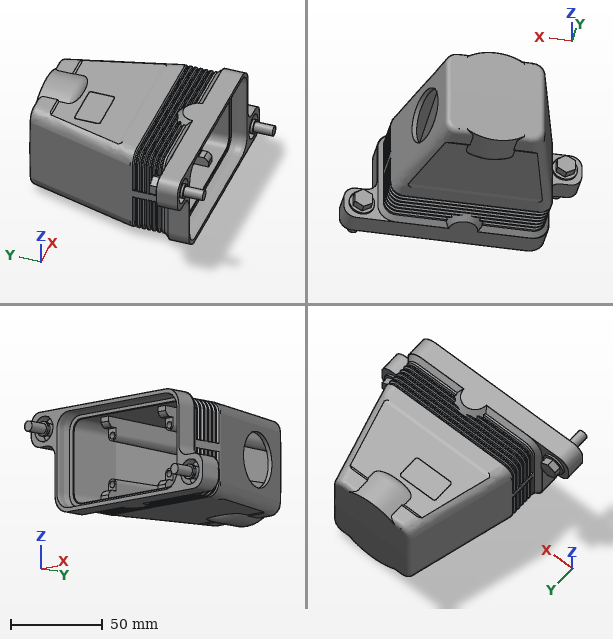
import cadquery as cq
import math


length = 132.5
height = 58.0
flange_width = 95.7
flange_depth = 12.2
flange_corner = 10.0
ear_height = 19.5
ear_corner = 6.9
ear_blend = 6.5

body_half_x = 44.9
body_half_z = 26.4
body_corner = 7.3
base_chamfer_end = 15.2
base_chamfer = 2.5
taper_start = 35.0
body_end = 100.2
body_end_half_x = 27.0
end_fall = 0.5
end_fillet = 2.9

taper_slope = (body_half_x - body_end_half_x) / (body_end - taper_start)

grip_start = 16.2
grip_end = 34.0
groove_count = 6
groove_pitch = (grip_end - grip_start) / groove_count
groove_depth = 0.9
groove_root = 0.8
groove_mouth = 2.3
side_band = 4.6

panel_depth = 0.4
panel_start = 42.9
panel_start_ramp = 1.7
panel_end = 88.8
panel_end_ramp = 1.2

plate_width = 25.2
plate_height = 14.8
plate_corner = 1.3
plate_depth = 0.3
plate_x = -11.4
plate_y = 67.6

boss_radius = height / 2
boss_width = 31.8
boss_start = 77.0
boss_fillet = 6.0

bump_radius = 8.0
bump_foot = 4.6

seat_half_x = 46.4
seat_half_z = 26.8
seat_corner = 9.3
seat_mouth_depth = 1.9
seat_mouth_inset = 0.4
seat_straight_end = 5.2
seat_inset = 1.2
seat_depth = 8.6
cavity_half_x = 42.0
cavity_half_z = 23.3
cavity_corner = 6.0
cavity_lip = 0.4
cavity_bend = 39.8
cavity_bend_half_x = 40.4
cavity_end = 94.1
cavity_end_half_x = 26.4
cavity_end_half_z = 21.2
cavity_end_corner = 5.2

strip_size = 1.2
strip_root = 0.4

cable_radius = 15.5
cable_y = 74.2
cable_reach = 4.6

post_x = 22.0
post_z = 13.5
post_front = 18.4
post_root_z = 23.8
post_front_radius = 2.9
post_back_radius = 4.5
post_hole_radius = 1.2
post_hole_mouth = 1.9
post_hole_depth = 10.6
foot_front = 12.6
foot_shelf = 15.2
foot_top_z = 17.5
foot_front_z = 20.4
foot_bulge = 0.4

screw_x = 56.5
screw_z = 19.3
screw_radius = 2.9
screw_length = 11.9
collar_radius = 4.1
collar_length = 0.9
collar_thickness = 1.6
sleeve_radius = 3.5
ear_bore_radius = 7.0
ear_bore_depth = 6.6
washer_radius = 7.0
washer_thickness = 1.2
head_flats = 10.0
head_height = 4.4


def section(y):
    """Sketch plane across the hood at depth y; positive extrusion runs toward -Y."""
    return cq.Workplane(cq.Plane(origin=(0, y, 0), xDir=(1, 0, 0), normal=(0, -1, 0)))


def frustum(y0, half_x0, half_z0, corner0, y1, half_x1, half_z1, corner1):
    """Solid between two centred rounded rectangles."""
    ends = []
    for y, half_x, half_z, corner in (
        (y0, half_x0, half_z0, corner0),
        (y1, half_x1, half_z1, corner1),
    ):
        outline = cq.Sketch().rect(2 * half_x, 2 * half_z).vertices().fillet(corner)
        ends.append(outline.moved(section(y).plane.location))
    return cq.Workplane().placeSketch(*ends).loft(ruled=True)


def body_section(y0, y1, inset0=0.0, inset1=0.0):
    """Straight-sided slice of the housing, inset evenly at each end."""
    return frustum(
        y0, body_half_x - inset0, body_half_z - inset0, body_corner - inset0,
        y1, body_half_x - inset1, body_half_z - inset1, body_corner - inset1,
    )


def tapered_half_x(y):
    return body_half_x - taper_slope * (y - taper_start)


def turned_copy(shape):
    """Copy turned half a turn about the hood axis."""
    return shape.rotate((0, 0, 0), (0, 1, 0), 180)


def make_flange():
    half_x = flange_width / 2
    half_z = height / 2
    ear_low = half_z - ear_height
    ear_reach = length / 2 - half_x + flange_corner
    slab = section(0).rect(flange_width, height).extrude(-flange_depth)
    ear = (
        section(0)
        .center((ear_reach - length) / 2, half_z - ear_height / 2)
        .rect(ear_reach, ear_height)
        .extrude(-flange_depth)
        .edges("|Y and <X")
        .fillet(ear_corner)
    )
    flange = slab.union(ear).union(turned_copy(ear)).clean()
    for side in (-1, 1):
        for x, z, radius in (
            (side * half_x, side * half_z, flange_corner),
            (side * half_x, -side * ear_low, ear_blend),
        ):
            around = cq.selectors.BoxSelector((x - 1.3, 0, z - 1.3), (x + 1.3, flange_depth, z + 1.3))
            flange = flange.edges("|Y").edges(around).fillet(radius)
    return flange


def end_crown():
    """Prism whose far end falls slightly from the centre plane to both sides."""
    half_z = height / 2
    return (
        cq.Workplane("YZ")
        .polyline([
            (0, -half_z),
            (body_end - end_fall, -half_z),
            (body_end, 0),
            (body_end - end_fall, half_z),
            (0, half_z),
        ])
        .close()
        .extrude(length / 2, both=True)
    )


def make_ribbed_section():
    ribs = body_section(base_chamfer_end, taper_start)
    ramp = (groove_mouth - groove_root) / 2
    for index in range(groove_count):
        centre = grip_end - groove_pitch * (index + 0.5)
        mouth_start = centre - groove_mouth / 2
        mouth_end = centre + groove_mouth / 2
        core = (
            body_section(mouth_start, mouth_start + ramp, 0, groove_depth)
            .union(body_section(mouth_start + ramp, mouth_end - ramp, groove_depth, groove_depth))
            .union(body_section(mouth_end - ramp, mouth_end, groove_depth, 0))
        )
        ribs = ribs.cut(body_section(mouth_start, mouth_end).cut(core))
    depth = taper_start - base_chamfer_end
    band = cq.Workplane().box(2 * body_half_x, depth, side_band)
    return ribs.union(band.translate((0, base_chamfer_end + depth / 2, 0)))


def make_tapered_section():
    body = frustum(
        taper_start, body_half_x, body_half_z, body_corner,
        body_end, body_end_half_x, body_half_z, body_corner,
    ).intersect(end_crown())
    rim = cq.selectors.BoxSelector(
        (-length, body_end - 2 * end_fall, -height), (length, body_end, height)
    )
    ridge = cq.selectors.BoxSelector((-length, 0, -0.1), (length, length, 0.1))
    body = body.newObject(body.edges(rim - ridge).vals()).fillet(end_fillet)
    panel = (
        cq.Workplane("YZ")
        .polyline([
            (panel_start, body_half_z),
            (panel_start + panel_start_ramp, body_half_z - panel_depth),
            (panel_end - panel_end_ramp, body_half_z - panel_depth),
            (panel_end, body_half_z),
        ])
        .close()
        .extrude(length / 2, both=True)
    )
    return body.cut(panel).cut(turned_copy(panel))


def make_boss():
    boss = (
        section(boss_start)
        .circle(boss_radius)
        .extrude(boss_start - body_end)
        .faces("<Y")
        .edges()
        .fillet(boss_fillet)
    )
    keep = cq.Workplane().box(boss_width, 2 * length, height)
    return boss.intersect(keep).intersect(end_crown())


def make_bump():
    """Half cone on the broad face, flush with the flange."""
    root_z = height / 2 - bump_foot
    cone = (
        cq.Workplane(origin=(0, flange_depth, root_z))
        .circle(bump_radius + bump_foot)
        .workplane(offset=bump_foot)
        .circle(bump_radius)
        .loft()
    )
    keep = cq.Workplane().box(length, length, height)
    return cone.intersect(keep.translate((0, (length + flange_depth) / 2, 0)))


def make_plate_pocket():
    floor_z = body_half_z - panel_depth - plate_depth
    return (
        cq.Workplane(origin=(plate_x, plate_y, floor_z))
        .rect(plate_width, plate_height)
        .extrude(2 * plate_depth)
        .edges("|Z")
        .fillet(plate_corner)
    )


def seat_step(y0, inset0, y1, inset1):
    """One depth step of the gasket seat, inset evenly at each end."""
    return frustum(
        y0, seat_half_x - inset0, seat_half_z - inset0, seat_corner - inset0,
        y1, seat_half_x - inset1, seat_half_z - inset1, seat_corner - inset1,
    )


def make_cavity():
    mouth = seat_step(0, 0, seat_mouth_depth, seat_mouth_inset)
    middle = seat_step(seat_mouth_depth, seat_mouth_inset, seat_straight_end, seat_mouth_inset)
    inner = seat_step(seat_straight_end, seat_mouth_inset, seat_depth, seat_inset)
    lip = frustum(
        seat_depth, cavity_half_x + cavity_lip, cavity_half_z + cavity_lip, cavity_corner + cavity_lip,
        seat_depth + cavity_lip, cavity_half_x, cavity_half_z, cavity_corner,
    )
    wall_start = seat_depth + cavity_lip
    bend_ratio = (cavity_bend - wall_start) / (cavity_end - wall_start)
    bend_half_z = cavity_half_z + bend_ratio * (cavity_end_half_z - cavity_half_z)
    bend_corner = cavity_corner + bend_ratio * (cavity_end_corner - cavity_corner)
    straight = frustum(
        wall_start, cavity_half_x, cavity_half_z, cavity_corner,
        cavity_bend, cavity_bend_half_x, bend_half_z, bend_corner,
    )
    tapered = frustum(
        cavity_bend, cavity_bend_half_x, bend_half_z, bend_corner,
        cavity_end, cavity_end_half_x, cavity_end_half_z, cavity_end_corner,
    )
    return mouth.union(middle).union(inner).union(lip).union(straight).union(tapered)


def make_end_strip():
    """Wedge between the two lower posts, rooted in the cavity wall."""
    half_length = post_x - post_back_radius
    root_z = -cavity_end_half_z - strip_root
    return (
        cq.Workplane("YZ")
        .polyline([
            (cavity_end, strip_size - cavity_end_half_z),
            (cavity_end - strip_size, -cavity_end_half_z),
            (cavity_end - strip_size, root_z),
            (cavity_end + strip_root, root_z),
            (cavity_end + strip_root, strip_size - cavity_end_half_z),
        ])
        .close()
        .extrude(half_length, both=True)
    )


def make_cable_entry():
    angle = math.atan(taper_slope)
    outward = cq.Vector(math.cos(angle), math.sin(angle), 0)
    centre = cq.Vector(tapered_half_x(cable_y), cable_y, 0)
    start = centre - outward * cable_reach
    return cq.Workplane(cq.Solid.makeCylinder(cable_radius, 2 * cable_reach, start, outward))


def post_outline(y, radius):
    outline = (
        section(y)
        .moveTo(-radius, post_root_z)
        .lineTo(-radius, post_z)
        .threePointArc((0, post_z - radius), (radius, post_z))
        .lineTo(radius, post_root_z)
        .close()
    )
    return outline.val()


def make_post():
    """Drafted post with a stepped foot and a tapered screw hole, on the plane X = 0."""
    post = cq.Workplane(cq.Solid.makeLoft([
        post_outline(post_front, post_front_radius),
        post_outline(cavity_end, post_back_radius),
    ], True))
    foot = (
        cq.Workplane("YZ")
        .moveTo(post_front, foot_top_z)
        .lineTo(foot_shelf, foot_top_z)
        .sagittaArc((foot_front, foot_front_z), foot_bulge)
        .lineTo(foot_front, post_root_z)
        .lineTo(post_front, post_root_z)
        .close()
        .extrude(post_front_radius, both=True)
    )
    hole = cq.Workplane(cq.Solid.makeCone(
        post_hole_mouth, post_hole_radius, post_hole_depth,
        cq.Vector(0, post_front, post_z), cq.Vector(0, 1, 0),
    ))
    return post.union(foot).cut(hole)


def make_screw():
    """Hexagon screw with washer and retaining collar, on the hood axis."""
    washer_top = flange_depth + washer_thickness
    shank = section(-screw_length).circle(screw_radius).extrude(-screw_length - washer_top)
    collar = section(-collar_length).circle(collar_radius).extrude(-collar_thickness)
    sleeve = section(0).circle(sleeve_radius).extrude(-flange_depth)
    washer = section(flange_depth).circle(washer_radius).extrude(-washer_thickness)
    head = (
        section(washer_top)
        .polygon(6, head_flats, circumscribed=True)
        .extrude(-head_height)
    )
    return shank.union(sleeve).union(collar).union(washer).union(head)


outer = (
    make_flange()
    .union(body_section(flange_depth, base_chamfer_end, -base_chamfer, 0))
    .union(make_ribbed_section())
    .union(make_tapered_section())
    .cut(make_plate_pocket())
)
for feature in (make_boss(), make_bump()):
    outer = outer.union(feature).union(turned_copy(feature))

hood = outer.cut(make_cavity()).cut(make_cable_entry()).union(make_end_strip())
for x in (-post_x, post_x):
    post = make_post().translate((x, 0, 0))
    hood = hood.union(post).union(turned_copy(post))

screw = make_screw()
ear_bore = section(0).circle(ear_bore_radius).extrude(-ear_bore_depth)
for side in (-1, 1):
    place = (side * screw_x, 0, -side * screw_z)
    hood = hood.cut(ear_bore.translate(place)).union(screw.translate(place))

result = hood